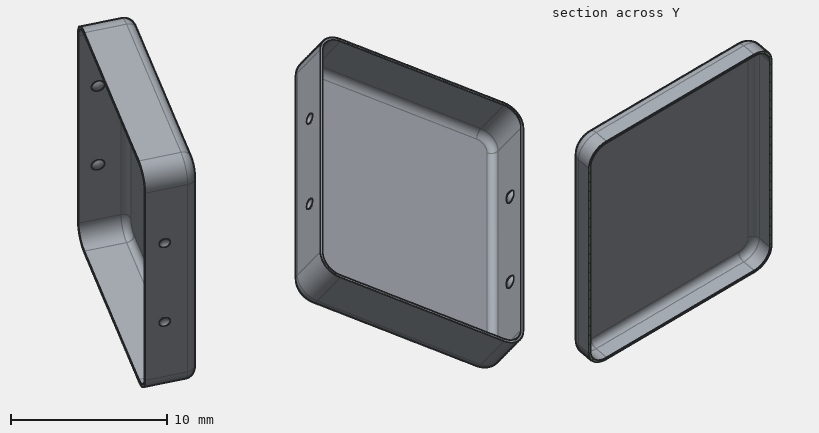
import cadquery as cq
import math

width = 15.3
depth = 3.5
height = 19.6
corner_radius = 1.49
back_edge_radius = 0.7

wall = 0.2
inner_edge_radius = back_edge_radius - wall

hollow_diameter = 0.75
bump_diameter = 0.88
dimple_depth = 0.2
dimple_spacing = 7.0
dimple_from_rim = 1.3


def rounded_block(size_x, size_y, size_z, vertical_radius, back_radius):
    """Block from y = 0 to y = size_y, rounded at its corners and back edge."""
    block = cq.Workplane("XY").box(size_x, size_y, size_z, centered=(True, False, True))
    block = block.edges("|Y").fillet(vertical_radius)
    return block.faces(">Y").edges().fillet(back_radius)


def tray():
    outside = rounded_block(width, depth, height, corner_radius, back_edge_radius)
    cavity = rounded_block(
        width - 2 * wall,
        depth - wall,
        height - 2 * wall,
        corner_radius - wall,
        inner_edge_radius,
    )
    return outside.cut(cavity)


def dimple_cap(side, base_x, center_z, base_diameter):
    """Shallow spherical cap on a side wall, bulging inward from the plane x = base_x."""
    base_radius = base_diameter / 2
    sphere_radius = (base_radius**2 + dimple_depth**2) / (2 * dimple_depth)
    center_x = base_x + side * (sphere_radius - dimple_depth)
    half_angle = math.asin(base_radius / sphere_radius) / 2
    arc_middle = (
        center_x - side * sphere_radius * math.cos(half_angle),
        dimple_from_rim + sphere_radius * math.sin(half_angle),
    )
    profile = (
        cq.Workplane("XY", origin=(0, 0, center_z))
        .moveTo(base_x, dimple_from_rim)
        .lineTo(base_x, dimple_from_rim + base_radius)
        .threePointArc(arc_middle, (base_x - side * dimple_depth, dimple_from_rim))
        .close()
    )
    return profile.revolve(360, (0, dimple_from_rim), (1, dimple_from_rim))


result = tray()
for side in (-1, 1):
    for center_z in (-dimple_spacing / 2, dimple_spacing / 2):
        bump = dimple_cap(side, side * (width / 2 - wall), center_z, bump_diameter)
        hollow = dimple_cap(side, side * width / 2, center_z, hollow_diameter)
        result = result.union(bump).cut(hollow)